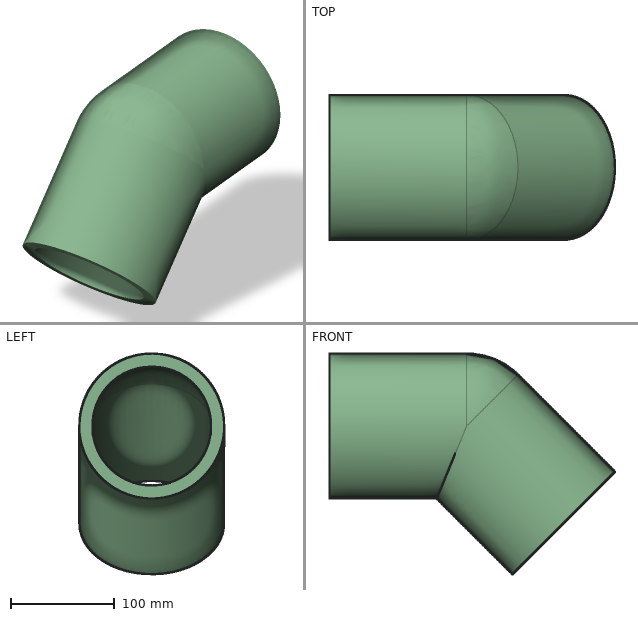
import cadquery as cq

outer_diameter = 140.0
bore_diameter = 114.6
leg_length = 132.5
bend_angle = 45.0

bend_axis_start = (0, 0, 0)
bend_axis_end = (0, 1, 0)


def straight_leg(diameter):
    """Solid rod from the origin along -X, the inlet leg."""
    return cq.Workplane("YZ").circle(diameter / 2).extrude(-leg_length)


def bent_leg(diameter):
    """Solid rod from the origin along +X, turned downward by the bend angle."""
    rod = cq.Workplane("YZ").circle(diameter / 2).extrude(leg_length)
    return rod.rotate(bend_axis_start, bend_axis_end, bend_angle)


def outer_knuckle(diameter):
    """Spherical wedge filling the gap between the legs on the outside of the bend."""
    radius = diameter / 2
    half_disc = (
        cq.Workplane("YZ")
        .moveTo(-radius, 0)
        .threePointArc((0, radius), (radius, 0))
        .close()
    )
    return half_disc.revolve(bend_angle, (0, 0), (1, 0))


def elbow_body(diameter):
    """Solid elbow of one diameter: both legs joined by the knuckle."""
    legs = straight_leg(diameter).union(bent_leg(diameter))
    return legs.union(outer_knuckle(diameter))


result = elbow_body(outer_diameter).cut(elbow_body(bore_diameter))